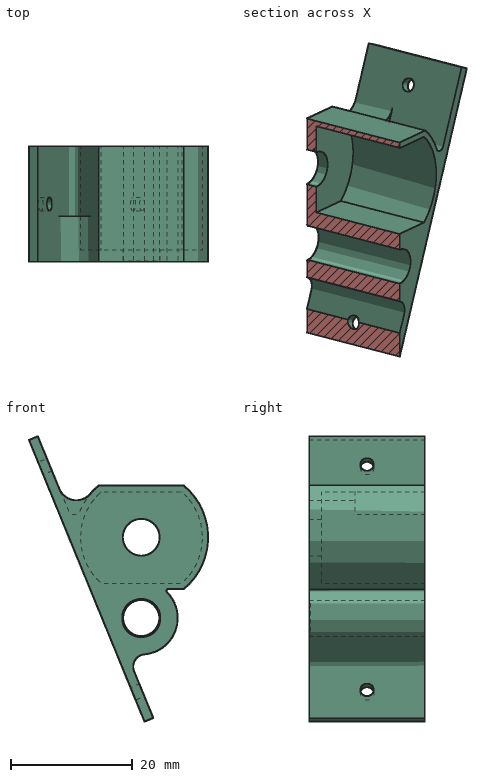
import cadquery as cq
import math

DEPTH = 19.0
HOUSING_RADIUS = 11.0
HOUSING_HALF_HEIGHT = 8.5
HOUSING_WALL = 1.0
FRONT_WALL = 2.0
SHAFT_HOLE_DIAMETER = 6.0

BOSS_DROP = 13.25
BOSS_RADIUS = 6.0
BOSS_BORE_DIAMETER = 5.9
BOSS_BORE_CHAMFER = 0.2

PLATE_TILT = math.radians(22.3)
PLATE_LENGTH = 49.97
PLATE_THICKNESS = 1.6
PLATE_UPPER_REACH = 21.775
SCREW_HOLE_DIAMETER = 2.2
SCREW_END_DISTANCE = 5.0

FRONT_VALLEY_RADIUS = 3.0
REAR_VALLEY_RADIUS = 1.0
FRONT_VALLEY_DEPTH = 7.5
BOSS_PLATE_FILLET = 2.0
BOSS_HOUSING_FILLET = 0.3

PLATE_BACK = -HOUSING_RADIUS
PLATE_FACE = PLATE_BACK + PLATE_THICKNESS
PLATE_TOP = PLATE_UPPER_REACH
PLATE_BOTTOM = PLATE_TOP - PLATE_LENGTH


def plate_point(across, along):
    """XZ point given by its distances across and up the tilted plate."""
    x = across * math.cos(PLATE_TILT) - along * math.sin(PLATE_TILT)
    z = across * math.sin(PLATE_TILT) + along * math.cos(PLATE_TILT)
    return (x, z)


def toward(start, end, distance):
    """Point at a distance from start on the line toward end."""
    share = distance / math.dist(start, end)
    return (start[0] + share * (end[0] - start[0]), start[1] + share * (end[1] - start[1]))


def arc_middle(center, start, end):
    """Middle of the shorter arc from start to end about center."""
    chord_middle = ((start[0] + end[0]) / 2, (start[1] + end[1]) / 2)
    return toward(center, chord_middle, math.dist(center, start))


def plate_fillet(circle_center, circle_radius, fillet_radius, side):
    """Plate point, middle and circle point of a fillet; side is 1 above the circle, -1 below."""
    tilt_cos = math.cos(PLATE_TILT)
    tilt_sin = math.sin(PLATE_TILT)
    circle_across = circle_center[0] * tilt_cos + circle_center[1] * tilt_sin
    circle_along = circle_center[1] * tilt_cos - circle_center[0] * tilt_sin
    across = PLATE_FACE + fillet_radius
    reach = math.sqrt((circle_radius + fillet_radius) ** 2 - (across - circle_across) ** 2)
    along = circle_along + side * reach
    center = plate_point(across, along)
    on_plate = plate_point(PLATE_FACE, along)
    on_circle = toward(circle_center, center, circle_radius)
    return on_plate, arc_middle(center, on_plate, on_circle), on_circle


def body(valley_radius, depth):
    """Plate, housing and boss as one extruded outline starting at the front face."""
    housing_center = (0, 0)
    boss_center = (0, -BOSS_DROP)
    flat_half = math.sqrt(HOUSING_RADIUS ** 2 - HOUSING_HALF_HEIGHT ** 2)
    flat_left_end = (-flat_half, HOUSING_HALF_HEIGHT)

    valley_start, valley_middle, valley_end = plate_fillet(housing_center, HOUSING_RADIUS, valley_radius, 1)
    foot_start, foot_middle, foot_end = plate_fillet(boss_center, BOSS_RADIUS, BOSS_PLATE_FILLET, -1)

    notch_z = -HOUSING_HALF_HEIGHT - BOSS_HOUSING_FILLET
    notch_x = math.sqrt((BOSS_RADIUS + BOSS_HOUSING_FILLET) ** 2 - (notch_z + BOSS_DROP) ** 2)
    notch_center = (notch_x, notch_z)
    notch_start = (notch_x, -HOUSING_HALF_HEIGHT)
    notch_end = toward(boss_center, notch_center, BOSS_RADIUS)

    outline = (
        cq.Workplane("XZ")
        .moveTo(*plate_point(PLATE_BACK, PLATE_BOTTOM))
        .lineTo(*plate_point(PLATE_BACK, PLATE_TOP))
        .lineTo(*plate_point(PLATE_FACE, PLATE_TOP))
        .lineTo(*valley_start)
        .threePointArc(valley_middle, valley_end)
        .threePointArc(arc_middle(housing_center, valley_end, flat_left_end), flat_left_end)
        .lineTo(flat_half, HOUSING_HALF_HEIGHT)
        .threePointArc((HOUSING_RADIUS, 0), (flat_half, -HOUSING_HALF_HEIGHT))
        .lineTo(*notch_start)
        .threePointArc(arc_middle(notch_center, notch_start, notch_end), notch_end)
        .threePointArc(arc_middle(boss_center, notch_end, foot_end), foot_end)
        .threePointArc(foot_middle, foot_start)
        .lineTo(*plate_point(PLATE_FACE, PLATE_BOTTOM))
        .close()
    )
    return outline.extrude(-depth)


def cylinder_along_y(radius, start_y, length, z):
    return cq.Workplane("XZ", origin=(0, start_y, z)).circle(radius).extrude(-length)


def motor_pocket():
    """Round pocket with flat top and bottom, open at the rear, plus the shaft hole."""
    pocket_length = DEPTH - FRONT_WALL
    pocket_radius = HOUSING_RADIUS - HOUSING_WALL
    pocket_height = 2 * (HOUSING_HALF_HEIGHT - HOUSING_WALL)
    flats = cq.Workplane("XY").box(2 * pocket_radius, 2 * DEPTH, pocket_height)
    pocket = cylinder_along_y(pocket_radius, FRONT_WALL, pocket_length, 0).intersect(flats)
    return pocket.union(cylinder_along_y(SHAFT_HOLE_DIAMETER / 2, 0, DEPTH, 0))


def boss_bore():
    """Through bore of the boss, chamfered at the front."""
    bore_radius = BOSS_BORE_DIAMETER / 2
    bore = cylinder_along_y(bore_radius, 0, DEPTH, -BOSS_DROP)
    mouth = cq.Solid.makeCone(
        bore_radius + BOSS_BORE_CHAMFER,
        bore_radius,
        BOSS_BORE_CHAMFER,
        cq.Vector(0, 0, -BOSS_DROP),
        cq.Vector(0, 1, 0),
    )
    return bore.union(cq.Workplane(obj=mouth))


def screw_hole(along):
    """Screw hole square to the plate, at mid depth, running past both of its faces."""
    overrun = PLATE_THICKNESS
    x, z = plate_point(PLATE_BACK - overrun, along)
    direction = cq.Vector(math.cos(PLATE_TILT), 0, math.sin(PLATE_TILT))
    length = PLATE_THICKNESS + 2 * overrun
    hole = cq.Solid.makeCylinder(SCREW_HOLE_DIAMETER / 2, length, cq.Vector(x, DEPTH / 2, z), direction)
    return cq.Workplane(obj=hole)


result = body(REAR_VALLEY_RADIUS, DEPTH).union(body(FRONT_VALLEY_RADIUS, FRONT_VALLEY_DEPTH))
result = result.cut(motor_pocket()).cut(boss_bore())
for along in (PLATE_TOP - SCREW_END_DISTANCE, PLATE_BOTTOM + SCREW_END_DISTANCE):
    result = result.cut(screw_hole(along))